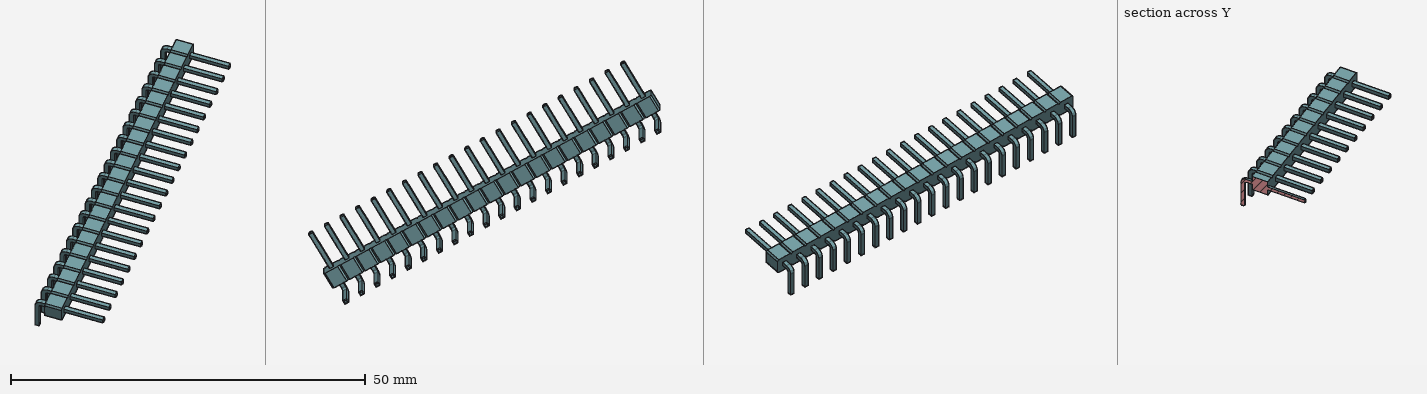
import cadquery as cq


pin_count = 21
pitch = 2.54
body_width = 2.54
body_height = 2.54
bevel = 0.25

pin_size = 0.64
contact_length = 6.0
total_width = 10.36
total_height = 6.18
bend_inner_radius = pin_size / 2
tip_bevel = 0.15

row_length = pin_count * pitch
bend_radius = bend_inner_radius + pin_size / 2
contact_tip_x = body_width / 2 + contact_length
tail_x = contact_tip_x - total_width + pin_size / 2
tail_tip_z = body_height / 2 - total_height
tip_size = pin_size - 2 * tip_bevel


def housing_cell(y):
    """One square cell whose four lengthwise edges are bevelled."""
    half_y = pitch / 2
    half_z = body_height / 2
    return (
        cq.Workplane("YZ", origin=(-body_width / 2, y, 0))
        .moveTo(-half_y, half_z - bevel)
        .lineTo(-half_y + bevel, half_z)
        .lineTo(half_y - bevel, half_z)
        .lineTo(half_y, half_z - bevel)
        .lineTo(half_y, -half_z + bevel)
        .lineTo(half_y - bevel, -half_z)
        .lineTo(-half_y + bevel, -half_z)
        .lineTo(-half_y, -half_z + bevel)
        .close()
        .extrude(body_width)
    )


def tapered_tip(plane):
    """Pyramid frustum that ends the square wire, growing along the plane normal."""
    return (
        cq.Workplane(plane)
        .rect(pin_size, pin_size)
        .workplane(offset=tip_bevel)
        .rect(tip_size, tip_size)
        .loft(ruled=True)
    )


def bent_pin():
    """Square wire bent from the horizontal contact down to the vertical tail, at Y = 0."""
    half = pin_size / 2
    outer_x = tail_x - half
    inner_x = tail_x + half
    contact_end_x = contact_tip_x - tip_bevel
    tail_end_z = tail_tip_z + tip_bevel
    bend_outer_radius = bend_radius + half
    bend_x = tail_x + bend_radius
    bend_z = -bend_radius
    wire = (
        cq.Workplane("XZ")
        .moveTo(contact_end_x, half)
        .lineTo(bend_x, half)
        .radiusArc((outer_x, bend_z), -bend_outer_radius)
        .lineTo(outer_x, tail_end_z)
        .lineTo(inner_x, tail_end_z)
        .lineTo(inner_x, bend_z)
        .radiusArc((bend_x, -half), bend_inner_radius)
        .lineTo(contact_end_x, -half)
        .close()
        .extrude(half, both=True)
    )
    contact_tip = tapered_tip(cq.Plane((contact_end_x, 0, 0), (0, 1, 0), (1, 0, 0)))
    tail_tip = tapered_tip(cq.Plane((tail_x, 0, tail_end_z), (1, 0, 0), (0, 0, -1)))
    return wire.union(contact_tip).union(tail_tip)


pin = bent_pin()
first_y = (pitch - row_length) / 2
result = cq.Workplane()
for index in range(pin_count):
    y = first_y + index * pitch
    result = result.add(housing_cell(y)).add(pin.translate((0, y, 0)))
result = result.combine()